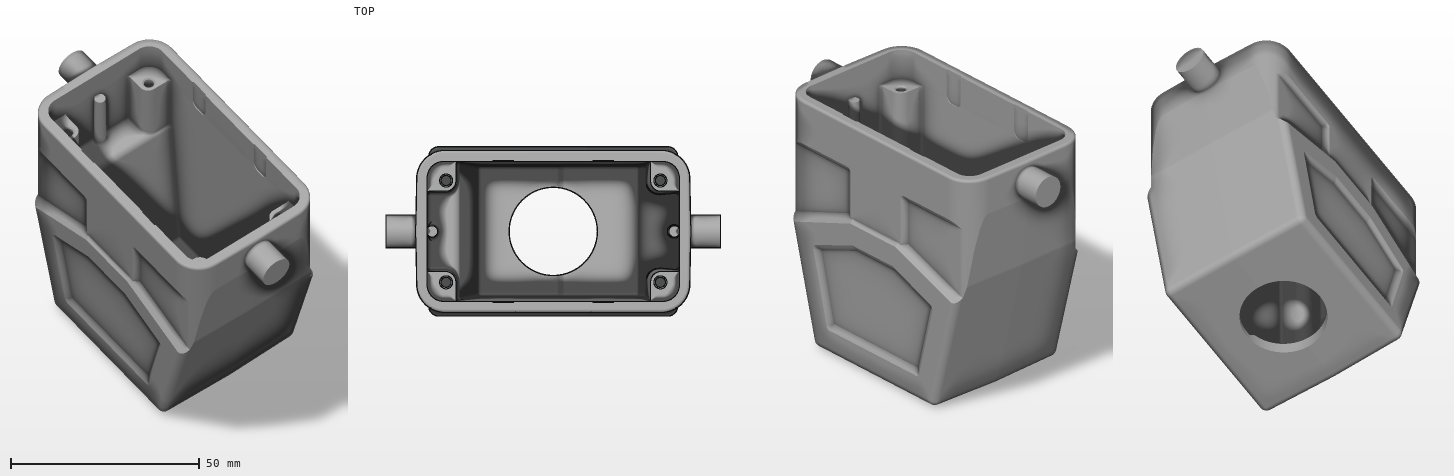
import cadquery as cq
import math

height = 72.0
overall_length = 89.0
draft = 1.0
overshoot = 8.9
margin = 0.9

upper_half_length = 36.6
upper_half_width = 21.5
facet_top_z = 61.05
waist_half_length = 34.3
waist_z = 39.9
base_half_length = 24.0
side_slope = (waist_half_length - base_half_length) / waist_z
corner_radius = 7.6
waist_radius = 5.3
rim_radius = 0.8
core_bottom_z = 32.9

block_half_width = 22.5
block_peak_z = 45.75
block_peak_half_length = 9.3
block_shoulder_z = 36.85
block_radius = 2.05

pocket_depth = 1.2
bevel_width = 1.9
recess_corner_radius = 1.3
pocket_edge_radius = 2.0
pocket_inner_x = 9.9
pocket_top_z = 59.1
panel_bottom_z = 7.65
panel_bottom_half_length = 18.1
panel_side_z = 30.9
panel_side_half_length = 23.8
panel_top_z = 36.9
panel_top_half_length = 8.0
block_bevel = block_half_width - upper_half_width + pocket_depth

rim_wall = 3.0
mouth_half_length = upper_half_length - rim_wall
mouth_half_width = 18.6
mouth_radius = 4.45
seat_z = 63.2
cavity_floor_half_width = 17.1
cavity_fillet = 0.9
knee_z = 45.4
knee_half_length = 33.2
shelf_edge_x = -25.0
shelf_radius = 2.05
left_floor_x = -19.8
low_floor_z = 2.2
high_floor_z = 4.0
step_low_x = 1.2
step_high_x = 2.9
entry_diameter = 23.4

post_inner_x = 25.9
post_inner_y = 10.7
post_radius = 2.7
post_draft = 1.5
post_fillet = 0.7
post_hole_x = 28.5
post_hole_y = 13.5
post_hole_diameter = 2.7
post_hole_mouth_diameter = 3.5
post_hole_depth = 10.7
guide_x = 32.2
guide_radius = 1.5
guide_draft = 0.8

groove_x = 13.3
groove_width = 5.5
groove_bottom_z = 62.3
groove_depth = 0.3
groove_corner_radius = 1.9

peg_diameter = 8.8
peg_z = 65.9
peg_inner_x = upper_half_length - rim_wall / 2


def region(x_range, y_range, z_range):
    """Pick whatever has its center inside a box, given the ends of the box along each axis."""
    return cq.selectors.BoxSelector(*zip(x_range, y_range, z_range))


def mirrored(points):
    """Complete an outline from its +X half, listed from bottom to top."""
    return points + [(-x, z) for x, z in reversed(points)]


def drafted_half_prism(points, half_width):
    """Extrude an XZ outline from Y = 0 to the front with the wall draft."""
    return cq.Workplane("XZ").polyline(points).close().extrude(half_width, taper=draft)


def with_back_half(front):
    return front.union(front.mirror("XZ"))


def beveled_recess(points, face_half_width):
    """Recess with sloped edges, sunk into both long walls at the given half width."""
    bevel_angle = math.degrees(math.atan(bevel_width / pocket_depth))
    outline = cq.Sketch().polygon(points + points[:1]).vertices().fillet(recess_corner_radius)
    front = (
        cq.Workplane("XZ", origin=(0, -face_half_width, 0))
        .placeSketch(outline)
        .extrude(-pocket_depth, taper=bevel_angle)
    )
    return with_back_half(front)


def make_core():
    top = height + overshoot
    box_points = mirrored([(upper_half_length, core_bottom_z), (upper_half_length, top)])
    box = with_back_half(drafted_half_prism(box_points, upper_half_width))
    box = box.edges("|Z").edges(">Y or <Y").fillet(corner_radius)
    bottom_half_length = base_half_length + side_slope * core_bottom_z
    silhouette = drafted_half_prism(
        mirrored([
            (bottom_half_length, core_bottom_z),
            (waist_half_length, waist_z),
            (upper_half_length, facet_top_z),
            (upper_half_length, top),
        ]),
        block_half_width,
    )
    trim = cq.Workplane("XY").box(overall_length, overall_length, height, centered=(True, True, False))
    waist_edges = region(
        (-overall_length, overall_length),
        (-overall_length, 0),
        (waist_z - margin, waist_z + margin),
    )
    silhouette = with_back_half(silhouette.edges(waist_edges).fillet(waist_radius))
    core = box.intersect(silhouette).intersect(trim)
    core = core.faces(">Z").edges().fillet(rim_radius)
    for side in (1, -1):
        core = core.cut(beveled_recess(
            [
                (side * pocket_inner_x, core_bottom_z - overshoot),
                (side * overall_length, core_bottom_z - overshoot),
                (side * overall_length, pocket_top_z),
                (side * pocket_inner_x, pocket_top_z),
            ],
            upper_half_width,
        ))
        pocket_edges = region(
            (side * (mouth_half_length - bevel_width), side * mouth_half_length),
            (-upper_half_width, upper_half_width),
            (waist_z, facet_top_z),
        )
        core = core.edges(pocket_edges).fillet(pocket_edge_radius)
    return core


def make_block():
    shoulder_half_length = base_half_length + side_slope * block_shoulder_z
    outline = mirrored([
        (base_half_length, 0),
        (shoulder_half_length, block_shoulder_z),
        (block_peak_half_length, block_peak_z),
    ])
    front = drafted_half_prism(outline, block_half_width)
    face_depth = (-block_half_width - margin, -block_half_width + margin)
    full_length = (-overall_length, overall_length)
    split_z = block_shoulder_z - 2 * block_radius
    upper_edges = region(full_length, face_depth, (split_z, height))
    front = front.faces("<Y").edges(upper_edges).chamfer(block_bevel)
    lower_edges = region(full_length, face_depth, (-margin, split_z - block_radius))
    outer_edges = front.faces("<Y").edges(lower_edges)
    underside_edges = front.faces("<Z").edges(">X or <X")
    front = front.newObject(outer_edges.vals() + underside_edges.vals()).fillet(block_radius)
    return with_back_half(front)


def make_panels():
    panel = mirrored([
        (panel_bottom_half_length, panel_bottom_z),
        (panel_side_half_length, panel_side_z),
        (panel_top_half_length, panel_top_z),
    ])
    return beveled_recess(panel, block_half_width)


def make_pegs():
    peg_length = overall_length / 2 - peg_inner_x
    peg = (
        cq.Workplane("YZ", origin=(peg_inner_x, 0, peg_z))
        .circle(peg_diameter / 2)
        .extrude(peg_length)
    )
    return peg.union(peg.mirror("YZ"))


def make_posts():
    """Four drafted screw posts filling the corners of the cavity."""
    length = upper_half_length - post_inner_x
    width = upper_half_width - post_inner_y
    posts = cq.Workplane("XY")
    for side_x in (1, -1):
        for side_y in (1, -1):
            x = side_x * (post_inner_x + length / 2)
            y = side_y * (post_inner_y + width / 2)
            inner_corner = ("<X" if side_x > 0 else ">X") + " and " + ("<Y" if side_y > 0 else ">Y")
            outline = (
                cq.Sketch().rect(length, width)
                .vertices(inner_corner).fillet(post_radius)
            )
            posts = posts.union(
                cq.Workplane("XY", origin=(x, y, seat_z))
                .placeSketch(outline)
                .extrude(-seat_z, taper=-post_draft)
            )
    return posts


def make_guide_pins():
    pins = cq.Workplane("XY")
    for x in (guide_x, -guide_x):
        pin = cq.Workplane("XY", origin=(x, 0, seat_z)).circle(guide_radius)
        pins = pins.union(pin.extrude(-seat_z, taper=-guide_draft))
    return pins


def make_lower_cavity():
    """Drafted cavity below the seat, with a shelf at -X and a stepped floor."""
    top = seat_z
    outline = [
        (-mouth_half_length, top),
        (-knee_half_length, knee_z),
        (shelf_edge_x, knee_z),
        (left_floor_x, low_floor_z),
        (step_low_x, low_floor_z),
        (step_high_x, high_floor_z),
        (knee_half_length - side_slope * (knee_z - high_floor_z), high_floor_z),
        (knee_half_length, knee_z),
        (mouth_half_length, top),
    ]
    shelf_edge = cq.selectors.NearestToPointSelector((shelf_edge_x, 0, knee_z))
    space = (
        cq.Workplane("XZ").polyline(outline).close()
        .extrude(mouth_half_width, both=True)
        .edges(shelf_edge).fillet(shelf_radius)
    )
    cross_section = [
        (-cavity_floor_half_width, low_floor_z),
        (cavity_floor_half_width, low_floor_z),
        (mouth_half_width, top),
        (-mouth_half_width, top),
    ]
    tub = cq.Workplane("YZ").polyline(cross_section).close().extrude(upper_half_length, both=True)
    space = space.intersect(tub)
    floor_edges = region(
        (-upper_half_length, upper_half_length),
        (-upper_half_width, upper_half_width),
        (low_floor_z - margin, high_floor_z + margin),
    )
    space = space.edges(floor_edges).fillet(cavity_fillet)
    space = space.cut(make_posts()).cut(make_guide_pins())
    shelf_edges = region(
        (-upper_half_length, shelf_edge_x - shelf_radius),
        (-post_inner_y, post_inner_y),
        (knee_z - margin, knee_z + margin),
    )
    space = space.edges(shelf_edges).fillet(cavity_fillet)
    mid_height = (cavity_fillet + high_floor_z, seat_z - margin)
    for side_x in (1, -1):
        for side_y in (1, -1):
            long_wall_corner = region(
                (side_x * (post_inner_x - 2 * post_radius), side_x * (post_inner_x + margin)),
                (side_y * cavity_floor_half_width, side_y * mouth_half_width),
                mid_height,
            )
            end_wall_corner = region(
                (side_x * guide_x, side_x * upper_half_length),
                (side_y * (post_inner_y - margin), side_y * (post_inner_y + margin)),
                mid_height,
            )
            for corner in (long_wall_corner, end_wall_corner):
                space = space.edges(corner).edges("not |Y").fillet(post_fillet)
    return space


def make_mouth():
    depth = height - seat_z
    mouth = (
        cq.Workplane("XY", origin=(0, 0, seat_z))
        .rect(2 * mouth_half_length, 2 * mouth_half_width)
        .extrude(depth)
        .edges("|Z").fillet(mouth_radius)
    )
    groove_length = height - groove_bottom_z
    for x in (groove_x, -groove_x):
        groove = (
            cq.Workplane("XY", origin=(x, 0, groove_bottom_z))
            .rect(groove_width, 2 * (mouth_half_width + groove_depth))
            .extrude(groove_length)
            .edges("|Y and <Z").fillet(groove_corner_radius)
        )
        mouth = mouth.union(groove)
    return mouth


def make_post_holes():
    chamfer_depth = (post_hole_mouth_diameter - post_hole_diameter) / 2
    points = [(x, y) for x in (post_hole_x, -post_hole_x) for y in (post_hole_y, -post_hole_y)]
    holes = (
        cq.Workplane("XY", origin=(0, 0, seat_z)).pushPoints(points)
        .circle(post_hole_diameter / 2).extrude(-post_hole_depth)
    )
    mouths = (
        cq.Workplane("XY", origin=(0, 0, seat_z)).pushPoints(points)
        .circle(post_hole_mouth_diameter / 2).extrude(-chamfer_depth, taper=45)
    )
    return holes.union(mouths)


def make_cable_entry():
    return cq.Workplane("XY").circle(entry_diameter / 2).extrude(high_floor_z + cavity_fillet)


body = make_core().union(make_block()).cut(make_panels()).union(make_pegs())
body = body.cut(make_lower_cavity()).cut(make_mouth())
result = body.cut(make_post_holes()).cut(make_cable_entry())